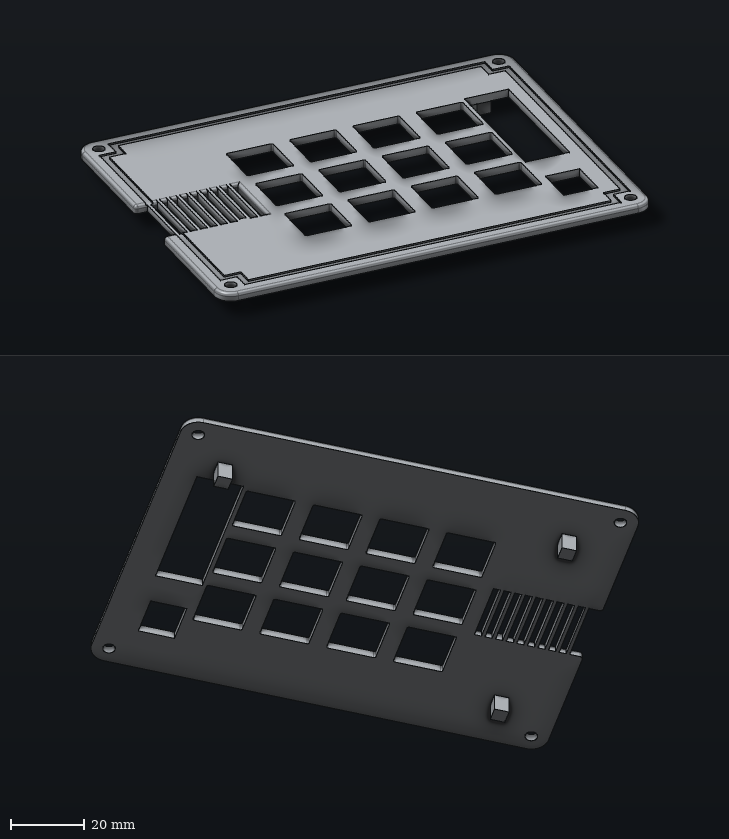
import cadquery as cq

PLATE_WIDTH = 96.29
PLATE_LENGTH = 130.41
PLATE_THICKNESS = 2.5
TOTAL_HEIGHT = 8.0
CORNER_RADIUS = 5.0
EDGE_FILLET = 1.0

SCREW_DIAMETER = 3.4
SCREW_INSET = CORNER_RADIUS

GROOVE_INSET = 3.5
GROOVE_WIDTH = 2.1
GROOVE_DEPTH = 0.5
GROOVE_CORNER_STEP = 5.0

KEY_COLUMNS = 3
KEY_ROWS = 4
KEY_PITCH = 19.05
KEY_SIZE = 14.0
KEY_CORNER_RADIUS = 0.5
KEY_GRID_Y = 5.8

WINDOW_Y = 49.3
DISPLAY_X = -7.5
DISPLAY_WIDTH = 40.0
DISPLAY_HEIGHT = 13.3
SMALL_WINDOW_X = 28.3
SMALL_WINDOW_WIDTH = 12.0
SMALL_WINDOW_HEIGHT = 10.3

GRILLE_X = 0.45
GRILLE_WIDTH = 18.5
GRILLE_BACK_Y = -34.15
BAR_COUNT = 9
BAR_WIDTH = 1.02
BAR_GAP = 2.0
BAR_PITCH = BAR_WIDTH + BAR_GAP
SQUARE_RIM_GAP = 2

PEG_SIZE = 4.15
PEG_X = 32.6
PEG_BACK_Y = 50.0
PEG_FRONT_Y = -48.1

FRONT_EDGE_Y = -PLATE_LENGTH / 2


def block(width, length, height, x, y, z):
    """Box centred on x and y, standing on z."""
    return cq.Workplane("XY").box(width, length, height, centered=(True, True, False)).translate((x, y, z))


def through_window(width, length, x, y):
    return block(width, length, PLATE_THICKNESS, x, y, 0)


def plate_with_opening():
    """Rounded plate with the grille opening in its front edge and all its top edges filleted."""
    plate = block(PLATE_WIDTH, PLATE_LENGTH, PLATE_THICKNESS, 0, 0, 0)
    plate = plate.edges("|Z").fillet(CORNER_RADIUS)

    length = GRILLE_BACK_Y - FRONT_EDGE_Y
    plate = plate.cut(through_window(GRILLE_WIDTH, length, GRILLE_X, FRONT_EDGE_Y + length / 2))
    for side in (-1, 1):
        mouth_corner = (GRILLE_X + side * GRILLE_WIDTH / 2, FRONT_EDGE_Y, PLATE_THICKNESS / 2)
        plate = plate.edges(cq.selectors.NearestToPointSelector(mouth_corner)).fillet(EDGE_FILLET)
    return plate.faces(">Z").edges().fillet(EDGE_FILLET)


def grille_bars():
    """Full-thickness bars whose ends run into the plate past the filleted rim of the opening."""
    bar_length = GRILLE_WIDTH + 2 * EDGE_FILLET
    bars = cq.Workplane("XY")
    for i in range(BAR_COUNT):
        y = GRILLE_BACK_Y - (i + 1) * BAR_PITCH + BAR_WIDTH / 2
        bars = bars.add(block(bar_length, BAR_WIDTH, PLATE_THICKNESS, GRILLE_X, y, 0))
    return bars.combine()


def square_rim():
    """Fill that brings the right end of one gap up to a square edge."""
    x = GRILLE_X + (GRILLE_WIDTH + EDGE_FILLET) / 2
    y = GRILLE_BACK_Y - SQUARE_RIM_GAP * BAR_PITCH - BAR_GAP / 2
    return block(EDGE_FILLET, BAR_GAP, PLATE_THICKNESS, x, y, 0)


def stepped_frame(inset):
    """Solid of groove depth: a rectangle inset from the plate edge with a square step in each corner."""
    width = PLATE_WIDTH - 2 * inset
    length = PLATE_LENGTH - 2 * inset
    z = PLATE_THICKNESS - GROOVE_DEPTH
    wide = block(width, length - 2 * GROOVE_CORNER_STEP, GROOVE_DEPTH, 0, 0, z)
    tall = block(width - 2 * GROOVE_CORNER_STEP, length, GROOVE_DEPTH, 0, 0, z)
    return wide.union(tall)


def groove():
    return stepped_frame(GROOVE_INSET).cut(stepped_frame(GROOVE_INSET + GROOVE_WIDTH))


def screw_holes():
    spacing_x = PLATE_WIDTH - 2 * SCREW_INSET
    spacing_y = PLATE_LENGTH - 2 * SCREW_INSET
    return (
        cq.Workplane("XY")
        .rarray(spacing_x, spacing_y, 2, 2)
        .circle(SCREW_DIAMETER / 2)
        .extrude(PLATE_THICKNESS)
    )


def key_openings():
    return (
        cq.Workplane("XY")
        .center(0, KEY_GRID_Y)
        .rarray(KEY_PITCH, KEY_PITCH, KEY_COLUMNS, KEY_ROWS)
        .rect(KEY_SIZE, KEY_SIZE)
        .extrude(PLATE_THICKNESS)
        .edges("|Z")
        .fillet(KEY_CORNER_RADIUS)
    )


def pegs():
    """Three pegs; the fourth corner of their pattern is taken by the small window."""
    height = TOTAL_HEIGHT - PLATE_THICKNESS
    places = [(-PEG_X, PEG_BACK_Y), (-PEG_X, PEG_FRONT_Y), (PEG_X, PEG_FRONT_Y)]
    return cq.Workplane("XY").pushPoints(places).rect(PEG_SIZE, PEG_SIZE).extrude(-height)


body = plate_with_opening().union(grille_bars()).union(square_rim()).clean()
body = body.cut(groove())
body = body.cut(screw_holes())
body = body.cut(key_openings())
body = body.cut(through_window(DISPLAY_WIDTH, DISPLAY_HEIGHT, DISPLAY_X, WINDOW_Y))
body = body.cut(through_window(SMALL_WINDOW_WIDTH, SMALL_WINDOW_HEIGHT, SMALL_WINDOW_X, WINDOW_Y))
result = body.union(pegs()).clean()